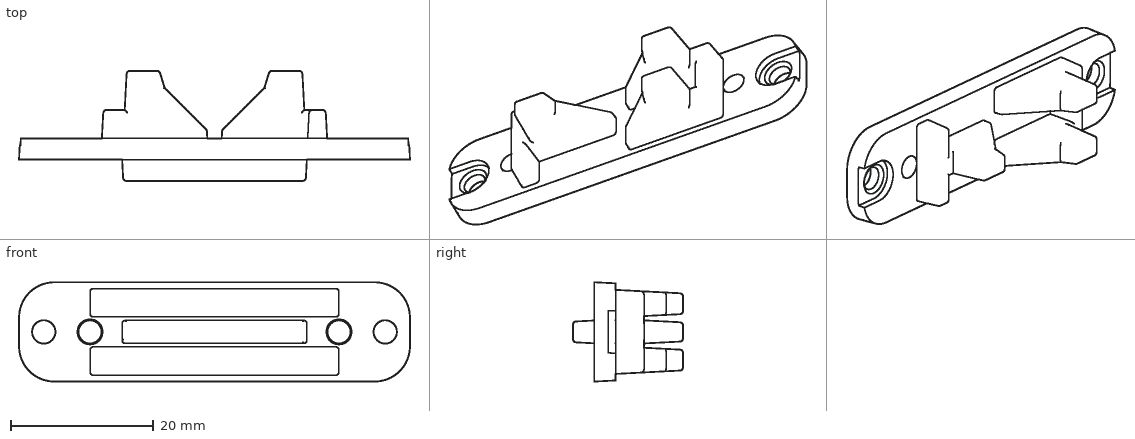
import cadquery as cq
import math

plate_length = 55.0
plate_height = 14.0
plate_thickness = 3.0
plate_corner_radius = 5.0
draft_angle = 3.0
edge_radius = 0.5

bar_length = 26.0
bar_height = 3.24
bar_depth = 3.0

pocket_length = 35.0
pocket_height = 4.0
pocket_offset = 4.1
pocket_depth = 0.5
pocket_corner_radius = 0.5

inner_hole_spacing = 35.0
inner_hole_diameter = 3.55
outer_hole_spacing = 48.0
outer_hole_diameter = 3.25
slot_width = 6.0
slot_depth = 1.0
outer_hole_chamfer = 0.5

jaw_height = 9.5
step_height = 4.0
jaw_tip_x = 1.0
jaw_shoulder_x = 12.85
wall_inner_x = 13.1
wall_outer_x = 15.85
wall_width = 11.85
center_prong_width = 3.7
side_prong_inner_z = 2.0
tip_height = 1.1
knee_height = 7.1
relief_angle = 17.0

probe_radius = 0.02
convex_fill_limit = 0.45


def jaw_block(x_min, x_max, z_min, z_max, height):
    """Drafted block standing on the back face of the plate."""
    center_x = (x_min + x_max) / 2
    center_z = (z_min + z_max) / 2
    return (
        cq.Workplane("XZ", origin=(center_x, plate_thickness, center_z))
        .rect(x_max - x_min, z_max - z_min)
        .extrude(-height, taper=draft_angle)
    )


def make_plate():
    outline = (
        cq.Sketch()
        .rect(plate_length, plate_height)
        .vertices()
        .fillet(plate_corner_radius)
    )
    return cq.Workplane("XZ").placeSketch(outline).extrude(-plate_thickness, taper=draft_angle)


def make_bar():
    bar = cq.Workplane("XZ").rect(bar_length, bar_height).extrude(bar_depth, taper=draft_angle)
    return bar.edges("not(>Y)").fillet(edge_radius)


def make_pockets():
    return (
        cq.Workplane("XZ")
        .pushPoints([(0, pocket_offset), (0, -pocket_offset)])
        .rect(pocket_length, pocket_height)
        .extrude(-pocket_depth)
        .edges("|Y")
        .fillet(pocket_corner_radius)
    )


def make_inner_holes():
    return (
        cq.Workplane("XZ")
        .rarray(inner_hole_spacing, 1, 2, 1)
        .circle(inner_hole_diameter / 2)
        .extrude(-plate_thickness, taper=draft_angle)
    )


def make_outer_holes():
    """Round tools for the outer holes, flared where they meet the floor of the end slots."""
    hole_depth = plate_thickness - slot_depth
    radius = outer_hole_diameter / 2
    flared_radius = radius + outer_hole_chamfer
    profile = (
        cq.Workplane("XY")
        .lineTo(radius, 0)
        .lineTo(radius, hole_depth - outer_hole_chamfer)
        .lineTo(flared_radius, hole_depth)
        .lineTo(0, hole_depth)
        .close()
    )
    tool = profile.revolve(360, (0, 0, 0), (0, 1, 0))
    offset = outer_hole_spacing / 2
    return tool.translate((offset, 0, 0)).union(tool.translate((-offset, 0, 0)))


def make_end_slot():
    """Round-ended slot in the back face around the +X outer hole, open at the plate end."""
    slot_center_x = outer_hole_spacing / 2
    slot_radius = slot_width / 2
    return (
        cq.Workplane("XZ", origin=(slot_center_x, plate_thickness, 0))
        .moveTo(slot_width, slot_radius)
        .lineTo(0, slot_radius)
        .threePointArc((-slot_radius, 0), (0, -slot_radius))
        .lineTo(slot_width, -slot_radius)
        .close()
        .extrude(slot_depth, taper=draft_angle)
    )


def make_mouth():
    """Space between the jaws on the +X side: a 45 degree ramp, then a steeper relief."""
    ramp_foot_x = jaw_tip_x - tip_height
    knee_x = ramp_foot_x + knee_height
    top_x = knee_x + (jaw_height - knee_height) * math.tan(math.radians(relief_angle))
    return (
        cq.Workplane("XY", origin=(0, plate_thickness, 0))
        .moveTo(ramp_foot_x, 0)
        .lineTo(knee_x, knee_height)
        .lineTo(top_x, jaw_height)
        .lineTo(ramp_foot_x, jaw_height)
        .close()
        .extrude(plate_height, both=True)
    )


def make_jaw(prong_spans):
    """Jaw on the +X side: a low end wall with a stepped prong for each Z span."""
    half_wall = wall_width / 2
    jaw = jaw_block(wall_inner_x, wall_outer_x, -half_wall, half_wall, step_height)
    for z_min, z_max in prong_spans:
        foot = jaw_block(jaw_tip_x, wall_outer_x, z_min, z_max, step_height)
        prong = jaw_block(jaw_tip_x, jaw_shoulder_x, z_min, z_max, jaw_height)
        jaw = jaw.union(foot).union(prong)
    return jaw.cut(make_mouth()).clean()


def is_convex(solid, edge):
    """True when less than half of a small ball centred on the edge is filled with material."""
    ball = cq.Workplane(edge.positionAt(0.5)).sphere(probe_radius).val()
    return solid.intersect(ball).Volume() < convex_fill_limit * ball.Volume()


def round_jaw(jaw):
    """Round every outward edge of a jaw, leaving those on the plate sharp."""
    solid = jaw.val()
    free_edges = jaw.edges("not(<Y)").vals()
    outward_edges = [edge for edge in free_edges if is_convex(solid, edge)]
    return jaw.newObject(outward_edges).fillet(edge_radius)


center_half = center_prong_width / 2
right_jaw = round_jaw(make_jaw([(-center_half, center_half)]))
side_spans = [(side_prong_inner_z, wall_width / 2), (-wall_width / 2, -side_prong_inner_z)]
left_jaw = round_jaw(make_jaw(side_spans)).mirror("YZ")

result = (
    make_plate()
    .cut(make_pockets())
    .cut(make_inner_holes())
    .cut(make_outer_holes())
    .cut(make_end_slot())
    .cut(make_end_slot().mirror("YZ"))
    .union(make_bar())
    .union(right_jaw)
    .union(left_jaw)
)